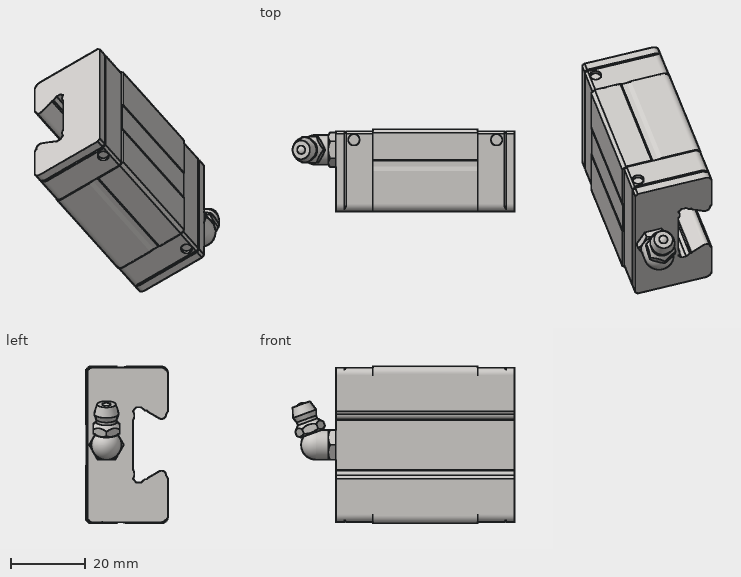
import cadquery as cq
import math


nipple_y = 16.5
base_hex_flats = 8.0
base_hex_length = 2.0
base_hex_chamfer = 0.5
elbow_diameter = base_hex_flats
elbow_center_x = -5.35
head_tilt = 20

head_hex_flats = 7.0
hex_bottom, hex_low_corner, hex_high_corner = 3.2, 3.9, 5.15
hex_bottom_radius = 3.15
neck_radius = 2.8
neck_start, neck_end = 6.5, 7.35
head_widest, head_top = 8.85, 11.5
head_radius = 3.3
tip_radius = 2.5
ball_visible_radius = 1.1
ball_rise = 0.35
tilt_angle = math.radians(head_tilt)
nipple_reach = -elbow_center_x + head_top * math.sin(tilt_angle) + tip_radius * math.cos(tilt_angle)

overall_length = 59.3
carriage_length = overall_length - nipple_reach
block_length = 28.0
block_width = 42.0
block_height = 22.0
cap_step_side = 0.35
cap_step_back = 0.55
cap_width = block_width - 2 * cap_step_side
cap_height = block_height - cap_step_back
edge_radius = 2.0
block_chamfer = 1.0
cap_chamfer = 0.7

side_groove_depth = 0.3
side_groove_start, side_groove_end = 10.85, 13.9
side_groove_floor_start, side_groove_floor_end = 12.05, 13.5
back_recess_depth = 0.2
back_recess_width = 11.05

notch_offset = 2.25
notch_size = 0.55
hole_diameter = 3.0
hole_depth = 1.0
hole_from_end = 4.8
hole_y = 19.15

channel_depth = 9.35
mouth_half_width = 9.0
lip_chamfer_depth = 0.55
lip_radius = 1.25
lip_low_half_width = 6.9
flank_angle = math.radians(30)
flank_end_y = 5.35
relief_y, relief_half_width = 5.7, 9.15
roof_start_y, roof_end_y = 7.25, 8.55
ledge_y = 6.2
roof_half_width = 10.0
corner_half_width = 9.0
bead_end_half_width = 6.6
bead_height = 0.35


def hex_corner_radius(flats):
    return flats / 2 / math.cos(math.radians(30))


def bar(length, height, width, chamfer):
    """Bar along X with rounded edges on the rail side and chamfered edges on the back."""
    body = cq.Workplane("XY").box(length, height, width, centered=(True, False, True))
    body = body.translate((carriage_length / 2, 0, 0))
    body = body.faces("<Y").edges("|X").fillet(edge_radius)
    return body.faces(">Y").edges("|X").chamfer(chamfer)


def extrude_along_x(outline):
    """Extrude a closed YZ outline over the whole carriage."""
    return outline.close().extrude(carriage_length)


def rail_channel_half():
    """Half of the rail channel on the +Z side."""
    lip_center_y = lip_chamfer_depth + lip_radius
    lip_center_z = lip_low_half_width + lip_radius
    lip_end_y = lip_center_y + lip_radius * math.sin(flank_angle)
    lip_end_z = lip_center_z - lip_radius * math.cos(flank_angle)
    arc_middle = math.radians(45)
    lip_middle = (
        lip_center_y - lip_radius * math.sin(arc_middle),
        lip_center_z - lip_radius * math.cos(arc_middle),
    )
    flank_end_z = lip_end_z + (flank_end_y - lip_end_y) * math.tan(flank_angle)
    bead_middle = (channel_depth - bead_height, (corner_half_width + bead_end_half_width) / 2)
    outline = (
        cq.Workplane("YZ")
        .moveTo(0, 0)
        .lineTo(0, mouth_half_width)
        .lineTo(lip_chamfer_depth, lip_center_z)
        .threePointArc(lip_middle, (lip_end_y, lip_end_z))
        .lineTo(flank_end_y, flank_end_z)
        .lineTo(relief_y, relief_half_width)
        .lineTo(ledge_y, relief_half_width)
        .lineTo(roof_start_y, roof_half_width)
        .lineTo(roof_end_y, roof_half_width)
        .lineTo(channel_depth, corner_half_width)
        .threePointArc(bead_middle, (channel_depth, bead_end_half_width))
        .lineTo(channel_depth, 0)
    )
    return extrude_along_x(outline)


def side_groove():
    """Shallow groove with sloped flanks along the +Z side of the block."""
    top = block_width / 2
    floor = top - side_groove_depth
    outline = cq.Workplane("YZ").polyline([
        (side_groove_start, top),
        (side_groove_floor_start, floor),
        (side_groove_floor_end, floor),
        (side_groove_end, top),
    ])
    return extrude_along_x(outline)


def cap_side_notch():
    """V groove across the +Z side of the end cap at X = 0."""
    top = cap_width / 2
    return (
        cq.Workplane("XZ")
        .polyline([
            (notch_offset, top),
            (notch_offset, top - notch_size),
            (notch_offset + notch_size, top),
        ])
        .close()
        .extrude(-cap_height)
    )


def cap_back_notch():
    """V groove across the back of the end cap at X = 0."""
    return (
        cq.Workplane("XY")
        .polyline([
            (notch_offset, cap_height),
            (notch_offset, cap_height - notch_size),
            (notch_offset + notch_size, cap_height),
        ])
        .close()
        .extrude(cap_width / 2, both=True)
    )


def cap_hole():
    """Blind hole in the +Z side of the end cap at X = 0."""
    hole = cq.Workplane("XY").circle(hole_diameter / 2).extrude(hole_depth)
    return hole.translate((hole_from_end, hole_y, cap_width / 2 - hole_depth))


def on_both_sides(cutter):
    return [cutter, cutter.mirror("XY")]


def on_both_ends(cutter):
    return [cutter, cutter.mirror("YZ", (carriage_length / 2, 0, 0))]


def make_carriage():
    block = bar(block_length, block_height, block_width, block_chamfer)
    for groove in on_both_sides(side_groove()):
        block = block.cut(groove)
    back_recess = cq.Workplane("XY").box(carriage_length, 2 * back_recess_depth, back_recess_width)
    block = block.cut(back_recess.translate((carriage_length / 2, block_height, 0)))

    body = block.union(bar(carriage_length, cap_height, cap_width, cap_chamfer))
    for channel_half in on_both_sides(rail_channel_half()):
        body = body.cut(channel_half)
    for notch in on_both_ends(cap_back_notch()):
        body = body.cut(notch)
    for side_feature in (cap_side_notch(), cap_hole()):
        for near_end in on_both_sides(side_feature):
            for cutter in on_both_ends(near_end):
                body = body.cut(cutter)
    return body


def elbow():
    """Hexagon base, cylinder and ball, built along +Z from the seat at the origin."""
    corner_radius = hex_corner_radius(base_hex_flats)
    chamfer_start = base_hex_length - base_hex_chamfer
    hexagon = cq.Workplane("XY").polygon(6, 2 * corner_radius).extrude(base_hex_length)
    chamfer_envelope = (
        cq.Workplane("XZ")
        .polyline([
            (0, 0),
            (corner_radius, 0),
            (corner_radius, chamfer_start),
            (elbow_diameter / 2, base_hex_length),
            (0, base_hex_length),
        ])
        .close()
        .revolve(360, (0, 0), (0, 1))
    )
    cylinder = cq.Workplane("XY").circle(elbow_diameter / 2).extrude(-elbow_center_x)
    ball = cq.Workplane("XY").sphere(elbow_diameter / 2).translate((0, 0, -elbow_center_x))
    return hexagon.intersect(chamfer_envelope).union(cylinder).union(ball)


def nipple_head():
    """Hexagon, neck, conical head and ball, built along +Z from the elbow centre at the origin."""
    corner_radius = hex_corner_radius(head_hex_flats)
    envelope = (
        cq.Workplane("XZ")
        .polyline([
            (0, hex_bottom),
            (hex_bottom_radius, hex_bottom),
            (corner_radius, hex_low_corner),
            (corner_radius, hex_high_corner),
            (neck_radius, neck_start),
            (neck_radius, neck_end),
            (head_radius, head_widest),
            (tip_radius, head_top),
            (0, head_top),
        ])
        .close()
        .revolve(360, (0, 0), (0, 1))
    )
    hexagon = cq.Workplane("XY").polygon(6, 2 * corner_radius).extrude(head_top)
    ball_radius = (ball_visible_radius**2 + ball_rise**2) / (2 * ball_rise)
    ball_center = head_top + ball_rise - ball_radius
    ball = cq.Workplane("XY").sphere(ball_radius).translate((0, 0, ball_center))
    return envelope.intersect(hexagon).union(ball)


def make_nipple():
    base = elbow().rotate((0, 0, 0), (0, 0, 1), 90).rotate((0, 0, 0), (0, 1, 0), -90)
    head = nipple_head().rotate((0, 0, 0), (0, 1, 0), -head_tilt).translate((elbow_center_x, 0, 0))
    return base.union(head).translate((0, nipple_y, 0))


carriage = make_carriage()
nipple = make_nipple()
result = cq.Compound.makeCompound([carriage.solids().val(), nipple.solids().val()])